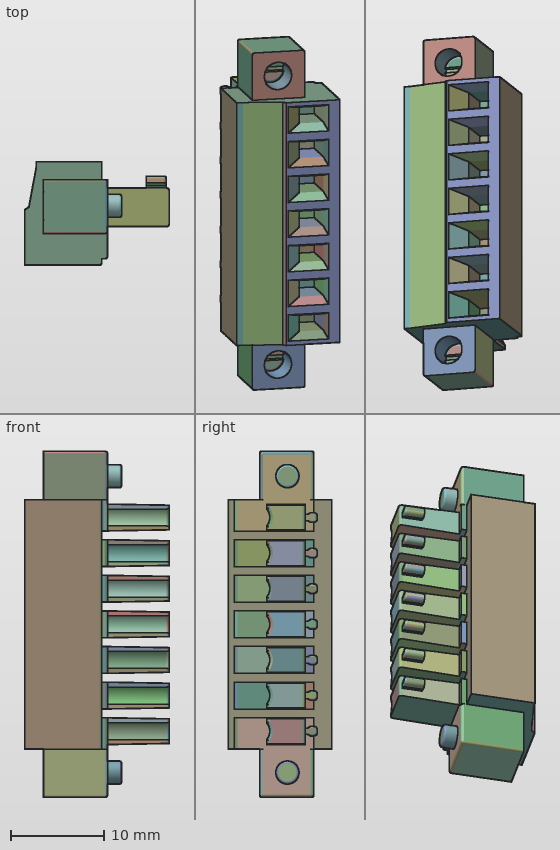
import cadquery as cq
import math


total_x = 15.5
total_y = 11.1
total_z = 37.07

contact_count = 7
contact_row_length = 22.87
contact_pitch = contact_row_length / (contact_count - 1)
contact_z = [(i - (contact_count - 1) / 2) * contact_pitch for i in range(contact_count)]

housing_z = 26.7
housing_x = 8.25
front_edge_radius = 0.25
slope_top_x = 1.22
slope_top_y = 10.4
slope_foot_x = 0.45
slope_foot_y = 6.23
entry_face_top_y = 5.93

ear_left = 2.0
ear_right = 8.9
ear_front = 3.37
ear_back = 9.15
ear_side_radius = 0.22
ear_end_radius = 0.35

screw_y = 6.35
screw_z = 15.85
screw_hole_diameter = 3.0
screw_head_x = 5.2
screw_head_radius = 0.3
screw_slot_width = 0.55
screw_slot_depth = 0.75
pin_diameter = 2.5
pin_end_x = 10.38
pin_end_radius = 0.25

rib_front = 0.65
rib_width = 2.9
rib_edge_radius = 0.35

finger_front = 4.1
finger_back = 8.25
finger_draft = math.radians(1)
finger_length = total_x - ear_right
finger_tip_width = rib_width - 2 * finger_length * math.tan(finger_draft)
finger_tip_radius = 0.35
groove_diameter = 2.8
groove_width = 1.8

key_left = 13.0
key_right = 15.15
key_back = 9.53
key_head_width = 1.05
key_neck_width = 0.65
key_neck_top = 8.5
key_head_bottom = 8.82
key_crown_radius = 0.37
key_end_radius = 0.22

entry_front = 1.25
entry_back = 5.7
entry_height = 2.9
bore_front = 1.37
bore_back = 4.05
bore_height = 1.78
funnel_depth = 1.9
bore_end_x = 5.93


def box(x, y, z):
    """Box spanning the given (low, high) ranges."""
    size = [high - low for low, high in (x, y, z)]
    return cq.Workplane("XY").box(*size, centered=False).translate((x[0], y[0], z[0]))


def rod_along_x(diameter, x_start, x_end):
    """Round bar on the upper screw axis."""
    plane = cq.Workplane("YZ", origin=(x_start, screw_y, screw_z))
    return plane.circle(diameter / 2).extrude(x_end - x_start)


def make_housing():
    outline = [
        (0, 0),
        (housing_x, 0),
        (housing_x, total_y),
        (slope_top_x, total_y),
        (slope_top_x, slope_top_y),
        (slope_foot_x, slope_foot_y),
        (0, entry_face_top_y),
    ]
    housing = cq.Workplane("XY", origin=(0, 0, -housing_z / 2)).polyline(outline).close().extrude(housing_z)
    return housing.edges("|Z and >X and <Y").fillet(front_edge_radius)


def make_upper_ear():
    """Ear with its captive screw: slotted head sunk in the ear and round end standing out on +X."""
    ear = box((ear_left, ear_right), (ear_front, ear_back), (housing_z / 2, total_z / 2))
    ear = ear.edges("|X and >Z").fillet(ear_side_radius)
    ear = ear.faces(">X").edges("not <Z").fillet(ear_end_radius)

    hole = rod_along_x(screw_hole_diameter, ear_left, ear_right - screw_head_radius)
    head = rod_along_x(screw_hole_diameter, screw_head_x, ear_right - screw_head_radius)
    head = head.faces("<X").edges().fillet(screw_head_radius)
    slot = box(
        (screw_head_x, screw_head_x + screw_slot_depth),
        (screw_y - screw_hole_diameter / 2, screw_y + screw_hole_diameter / 2),
        (screw_z - screw_slot_width / 2, screw_z + screw_slot_width / 2),
    )
    pin = rod_along_x(pin_diameter, ear_right - screw_head_radius, pin_end_x)
    pin = pin.faces(">X").edges().fillet(pin_end_radius)
    return ear.cut(hole).union(head.cut(slot)).union(pin)


def make_rib(z_low, z_high):
    rib = box((housing_x, ear_right), (rib_front, ear_back), (z_low, z_high))
    return rib.edges("|Z and >X and <Y").fillet(rib_edge_radius)


def make_finger():
    """Contact finger at Z = 0, narrowing to its tip, with a shallow round groove along the front."""
    outline = [
        (ear_right, -rib_width / 2),
        (total_x, -finger_tip_width / 2),
        (total_x, finger_tip_width / 2),
        (ear_right, rib_width / 2),
    ]
    finger = cq.Workplane("XZ", origin=(0, finger_back, 0)).polyline(outline).close()
    finger = finger.extrude(finger_back - finger_front)

    groove_axis_offset = math.sqrt(groove_diameter**2 - groove_width**2) / 2
    groove = cq.Workplane("YZ", origin=(ear_right, finger_front - groove_axis_offset, 0))
    groove = groove.circle(groove_diameter / 2).extrude(finger_length)
    return finger.cut(groove).faces(">X").edges("not |Y").fillet(finger_tip_radius)


def make_key():
    """Mushroom-shaped coding key at Z = 0, running along X on the back of a finger."""
    neck = key_neck_width / 2
    head = key_head_width / 2
    outline = [
        (finger_back, -neck),
        (key_neck_top, -neck),
        (key_head_bottom, -head),
        (key_back, -head),
        (key_back, head),
        (key_head_bottom, head),
        (key_neck_top, neck),
        (finger_back, neck),
    ]
    key = cq.Workplane("YZ", origin=(key_left, 0, 0)).polyline(outline).close().extrude(key_right - key_left)
    key = key.edges("|X and >Y").fillet(key_crown_radius)
    return key.faces(">X").edges(">Y").fillet(key_end_radius)


def make_wire_entry():
    """Void at Z = 0: a funnel leading to a straight rectangular bore."""
    entry_y = (entry_front + entry_back) / 2
    bore_y = (bore_front + bore_back) / 2
    entry = cq.Workplane("YZ").center(entry_y, 0).rect(entry_back - entry_front, entry_height)
    funnel = entry.workplane(offset=funnel_depth).center(bore_y - entry_y, 0)
    funnel = funnel.rect(bore_back - bore_front, bore_height).loft(ruled=True)
    bore = box((funnel_depth, bore_end_x), (bore_front, bore_back), (-bore_height / 2, bore_height / 2))
    return funnel.union(bore)


result = make_housing()

upper_ear = make_upper_ear()
result = result.union(upper_ear).union(upper_ear.mirror("XY"))

finger_with_key = make_finger().union(make_key())
wire_entry = make_wire_entry()
for z in contact_z:
    rib_low = -housing_z / 2 if z == contact_z[0] else z - rib_width / 2
    rib_high = housing_z / 2 if z == contact_z[-1] else z + rib_width / 2
    result = result.union(make_rib(rib_low, rib_high))
    result = result.union(finger_with_key.translate((0, 0, z)))
    result = result.cut(wire_entry.translate((0, 0, z)))